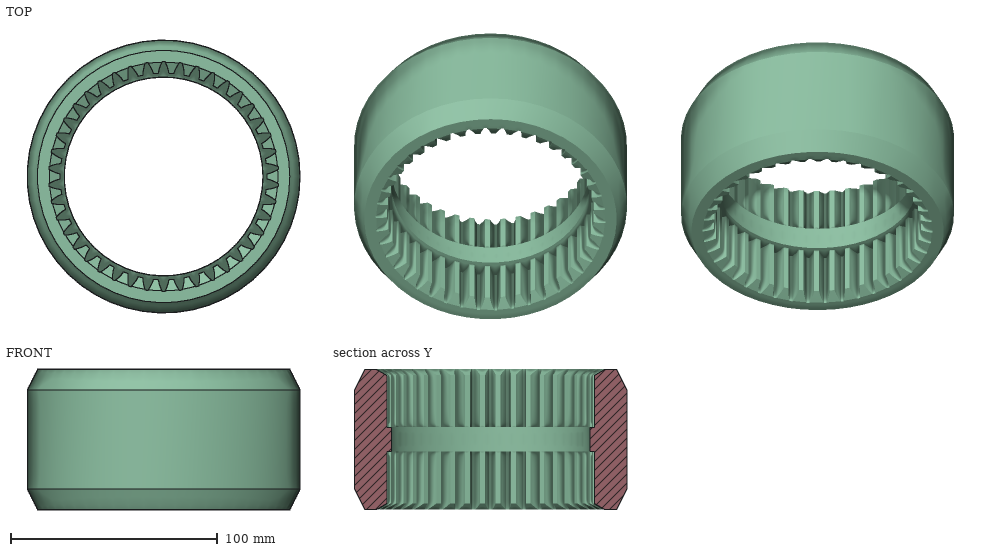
import cadquery as cq
import math

OUTER_RADIUS = 66.0
HEIGHT = 68.0
EDGE_BEVEL_RADIAL = 5.0
EDGE_BEVEL_AXIAL = 10.0

TOOTH_COUNT = 42
MODULE = 2.5
PRESSURE_ANGLE = math.radians(20)
PITCH_RADIUS = MODULE * TOOTH_COUNT / 2
BASE_RADIUS = PITCH_RADIUS * math.cos(PRESSURE_ANGLE)
ADDENDUM = MODULE
DEDENDUM = 1.25 * MODULE
TIP_RADIUS = PITCH_RADIUS - ADDENDUM
ROOT_RADIUS = PITCH_RADIUS + DEDENDUM
FLANK_SEGMENTS = 3

LEAD_IN_RADIUS = 55.25
LEAD_IN_ANGLE = math.radians(30)

RIB_RADIUS = 48.0
RIB_HEIGHT = 12.0
TOOTH_LENGTH = (HEIGHT - RIB_HEIGHT) / 2


def involute(angle):
    return math.tan(angle) - angle


def polar_point(radius, angle):
    return (radius * math.cos(angle), radius * math.sin(angle))


def gap_half_angle(radius):
    """Half of the angle spanned by the gap between two teeth at a radius."""
    half_angle_at_pitch = math.pi / (2 * TOOTH_COUNT)
    local_pressure_angle = math.acos(BASE_RADIUS / radius)
    return half_angle_at_pitch + involute(PRESSURE_ANGLE) - involute(local_pressure_angle)


def sleeve_body():
    """Ring with a bevel on both outer edges and the rib's bore through it."""
    bevel_radius = OUTER_RADIUS - EDGE_BEVEL_RADIAL
    return (
        cq.Workplane("XZ")
        .moveTo(RIB_RADIUS, 0)
        .lineTo(bevel_radius, 0)
        .lineTo(OUTER_RADIUS, EDGE_BEVEL_AXIAL)
        .lineTo(OUTER_RADIUS, HEIGHT - EDGE_BEVEL_AXIAL)
        .lineTo(bevel_radius, HEIGHT)
        .lineTo(RIB_RADIUS, HEIGHT)
        .close()
        .revolve(360, (0, 0, 0), (0, 1, 0))
    )


def toothed_bore():
    """Volume removed for one toothed half; its outline follows every tooth and gap."""
    pitch_angle = 2 * math.pi / TOOTH_COUNT
    step = (ROOT_RADIUS - TIP_RADIUS) / FLANK_SEGMENTS
    flank_radii = [TIP_RADIUS + i * step for i in range(FLANK_SEGMENTS + 1)]

    first_gap = pitch_angle / 2
    start_angle = first_gap - gap_half_angle(TIP_RADIUS)
    outline = cq.Workplane("XY").moveTo(*polar_point(TIP_RADIUS, start_angle))
    for i in range(TOOTH_COUNT):
        gap = first_gap + i * pitch_angle
        next_tooth = gap + pitch_angle / 2
        next_start = start_angle + (i + 1) * pitch_angle
        rising = [polar_point(r, gap - gap_half_angle(r)) for r in flank_radii]
        falling = [polar_point(r, gap + gap_half_angle(r)) for r in reversed(flank_radii)]
        outline = (
            outline.spline(rising[1:], includeCurrent=True)
            .threePointArc(polar_point(ROOT_RADIUS, gap), falling[0])
            .spline(falling[1:], includeCurrent=True)
            .threePointArc(polar_point(TIP_RADIUS, next_tooth), polar_point(TIP_RADIUS, next_start))
        )
    return outline.close().extrude(TOOTH_LENGTH)


def lead_in_cone():
    """Cone that bevels the tooth ends at the bottom face."""
    depth = (LEAD_IN_RADIUS - RIB_RADIUS) * math.tan(LEAD_IN_ANGLE)
    return cq.Workplane(cq.Solid.makeCone(LEAD_IN_RADIUS, RIB_RADIUS, depth))


bottom_cavity = toothed_bore().union(lead_in_cone())
top_cavity = bottom_cavity.mirror("XY").translate((0, 0, HEIGHT))
result = sleeve_body().cut(bottom_cavity).cut(top_cavity)